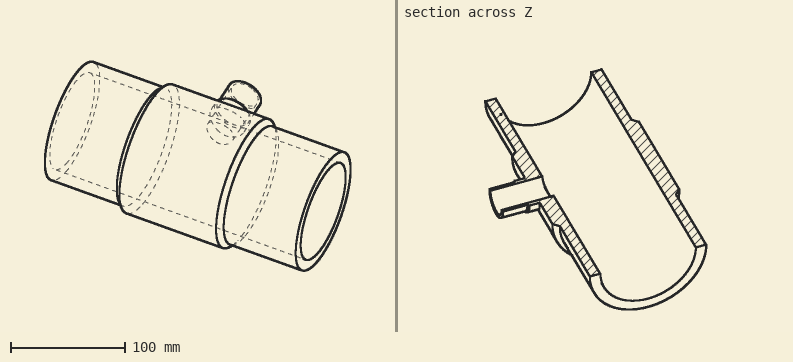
import cadquery as cq

pipe_length = 244.0
pipe_diameter = 110.0
bore_diameter = 90.0

sleeve_diameter = 120.0
sleeve_length = 104.0
sleeve_chamfer = (sleeve_diameter - pipe_diameter) / 2

branch_diameter = 32.0
branch_bore_diameter = 26.2
branch_end = 94.0
collar_diameter = 34.9
collar_end = 71.0
collar_chamfer = (collar_diameter - branch_diameter) / 2


def cylinder_along_x(diameter, length):
    """Cylinder on the X axis, centred on the origin."""
    return cq.Workplane("YZ").circle(diameter / 2).extrude(length / 2, both=True)


def cylinder_along_y(diameter, end):
    """Cylinder on the Y axis, from the origin out to Y = end."""
    return cq.Workplane("XZ").circle(diameter / 2).extrude(-end)


def make_run():
    """Run pipe with its bevelled sleeve, still solid."""
    sleeve = cylinder_along_x(sleeve_diameter, sleeve_length).edges().chamfer(sleeve_chamfer)
    return cylinder_along_x(pipe_diameter, pipe_length).union(sleeve)


def make_branch():
    """Branch pipe with its bevelled collar, still solid."""
    collar = cylinder_along_y(collar_diameter, collar_end).faces(">Y").chamfer(collar_chamfer)
    return cylinder_along_y(branch_diameter, branch_end).union(collar)


run_bore = cylinder_along_x(bore_diameter, pipe_length)
branch_bore = cylinder_along_y(branch_bore_diameter, branch_end)

result = make_run().union(make_branch()).cut(run_bore).cut(branch_bore)